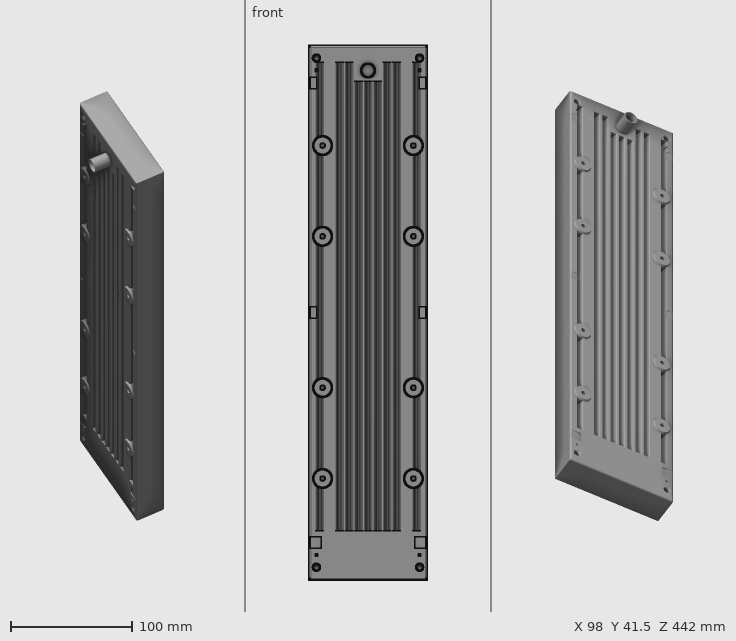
import cadquery as cq
import math

WIDTH = 98.0
HEIGHT = 442.0
BODY_DEPTH = 26.5
FRONT_FILLET = 1.7
BACK_FILLET = 1.3

TUBE_DIAMETER = 12.0
TUBE_LENGTH = 15.0
TUBE_BORE_DIAMETER = 10.38
TUBE_Z = 200.0

SLOT_MOUTH_WIDTH = 6.2
SLOT_MOUTH_RADIUS = 0.8
SLOT_BOTTOM_DIAMETER = 2.25
SLOT_PITCH = 7.9
SLOT_DEPTH = 7.5
SLOT_TOP_Z = 207.0
SLOT_BOTTOM_Z = -180.0
CENTRE_SLOTS_PER_SIDE = 3
SIDE_SLOT_X = 39.9
TUBE_LANDING_SLOTS_PER_SIDE = 1
TUBE_LANDING_DROP = 9.0
TUBE_LANDING_BOTTOM_Z = TUBE_Z - TUBE_LANDING_DROP

BOSS_X = 37.5
BOSS_PATTERN_CENTRE_Z = 0.5
BOSS_INNER_SPACING = 125.0
BOSS_OUTER_SPACING = 275.0
BOSS_BASE_DIAMETER = 16.2
BOSS_TOP_DIAMETER = 14.5
BOSS_HEIGHT = 1.5
BOSS_HOLE_DIAMETER = 4.13
BOSS_HOLE_DEPTH = 8.0

EDGE_HOLE_X = 42.6
CORNER_HOLE_Z = 210.3
CORNER_HOLE_DIAMETER = 4.92
CORNER_HOLE_RIM_DIAMETER = 6.5
CORNER_HOLE_DEPTH = 4.0
DRILL_POINT_ANGLE = 118.0
PILOT_HOLE_Z = 200.2
PILOT_HOLE_DIAMETER = 2.25
PILOT_HOLE_DEPTH = 5.0

CLIP_INNER_X = 38.6
CLIP_HEIGHT = 9.6
CLIP_DEPTH = 0.9
CLIP_Z = 189.8

BOSS_OFFSETS_Z = (
    -BOSS_OUTER_SPACING / 2,
    -BOSS_INNER_SPACING / 2,
    BOSS_INNER_SPACING / 2,
    BOSS_OUTER_SPACING / 2,
)
BOTH_SIDES = (-1, 1)


def front_plane(x, z, y=0.0):
    """Workplane at (x, y, z) whose normal points into the body (+Y)."""
    return cq.Workplane(cq.Plane(origin=(x, y, z), xDir=(1, 0, 0), normal=(0, 1, 0)))


def make_body():
    body = cq.Workplane("XY").box(WIDTH, BODY_DEPTH, HEIGHT).translate((0, BODY_DEPTH / 2, 0))
    body = body.faces("<Y").edges().fillet(FRONT_FILLET)
    return body.faces(">Y").edges().fillet(BACK_FILLET)


def make_slot(x, top_z):
    """Cutter for one slot: rounded lips, tapering walls and a half-round bottom, run up along Z."""
    lip_x = SLOT_MOUTH_WIDTH / 2
    wall_x = lip_x - SLOT_MOUTH_RADIUS
    bottom_radius = SLOT_BOTTOM_DIAMETER / 2
    wall_end_y = SLOT_DEPTH - bottom_radius
    return (
        cq.Workplane("XY", origin=(x, 0, SLOT_BOTTOM_Z))
        .moveTo(-lip_x, 0)
        .radiusArc((-wall_x, SLOT_MOUTH_RADIUS), -SLOT_MOUTH_RADIUS)
        .lineTo(-bottom_radius, wall_end_y)
        .threePointArc((0, SLOT_DEPTH), (bottom_radius, wall_end_y))
        .lineTo(wall_x, SLOT_MOUTH_RADIUS)
        .radiusArc((lip_x, 0), -SLOT_MOUTH_RADIUS)
        .close()
        .extrude(top_z - SLOT_BOTTOM_Z)
    )


def cut_slots(body):
    for index in range(-CENTRE_SLOTS_PER_SIDE, CENTRE_SLOTS_PER_SIDE + 1):
        under_tube = abs(index) <= TUBE_LANDING_SLOTS_PER_SIDE
        top_z = TUBE_LANDING_BOTTOM_Z if under_tube else SLOT_TOP_Z
        body = body.cut(make_slot(index * SLOT_PITCH, top_z))
    for side in BOTH_SIDES:
        body = body.cut(make_slot(side * SIDE_SLOT_X, SLOT_TOP_Z))
    return body


def add_bosses(body):
    """Each boss has a foot that fills the slots beneath it, down to their bottoms."""
    for x in (-BOSS_X, BOSS_X):
        for offset in BOSS_OFFSETS_Z:
            z = BOSS_PATTERN_CENTRE_Z + offset
            foot = front_plane(x, z).circle(BOSS_BASE_DIAMETER / 2).extrude(SLOT_DEPTH)
            rim = (
                front_plane(x, z)
                .circle(BOSS_BASE_DIAMETER / 2)
                .workplane(offset=-BOSS_HEIGHT)
                .circle(BOSS_TOP_DIAMETER / 2)
                .loft()
            )
            hole = front_plane(x, z, -BOSS_HEIGHT).circle(BOSS_HOLE_DIAMETER / 2).extrude(BOSS_HOLE_DEPTH)
            body = body.union(foot).union(rim).cut(hole)
    return body


def make_corner_hole(x, z):
    """Blind hole with a 45 degree countersunk rim and a conical drill point."""
    radius = CORNER_HOLE_DIAMETER / 2
    rim_radius = CORNER_HOLE_RIM_DIAMETER / 2
    point_depth = radius / math.tan(math.radians(DRILL_POINT_ANGLE / 2))
    return (
        cq.Workplane("XY", origin=(x, 0, z))
        .lineTo(rim_radius, 0)
        .lineTo(radius, rim_radius - radius)
        .lineTo(radius, CORNER_HOLE_DEPTH)
        .lineTo(0, CORNER_HOLE_DEPTH + point_depth)
        .close()
        .revolve(360, (0, 0, 0), (0, 1, 0))
    )


def cut_edge_holes(body):
    for x in (-EDGE_HOLE_X, EDGE_HOLE_X):
        for end in BOTH_SIDES:
            body = body.cut(make_corner_hole(x, end * CORNER_HOLE_Z))
            pilot = front_plane(x, end * PILOT_HOLE_Z).circle(PILOT_HOLE_DIAMETER / 2)
            body = body.cut(pilot.extrude(PILOT_HOLE_DEPTH))
    return body


def cut_clip_recesses(body):
    for side in BOTH_SIDES:
        for z in (-CLIP_Z, 0, CLIP_Z):
            ramp = (
                cq.Workplane("XY", origin=(0, 0, z - CLIP_HEIGHT / 2))
                .moveTo(side * WIDTH / 2, 0)
                .lineTo(side * CLIP_INNER_X, 0)
                .lineTo(side * CLIP_INNER_X, CLIP_DEPTH)
                .close()
                .extrude(CLIP_HEIGHT)
            )
            body = body.cut(ramp)
    return body


def add_tube(body):
    tube = front_plane(0, TUBE_Z).circle(TUBE_DIAMETER / 2).extrude(-TUBE_LENGTH)
    bore = front_plane(0, TUBE_Z).circle(TUBE_BORE_DIAMETER / 2).extrude(-TUBE_LENGTH)
    return body.union(tube).cut(bore)


result = make_body()
result = cut_slots(result)
result = cut_clip_recesses(result)
result = cut_edge_holes(result)
result = add_bosses(result)
result = add_tube(result)